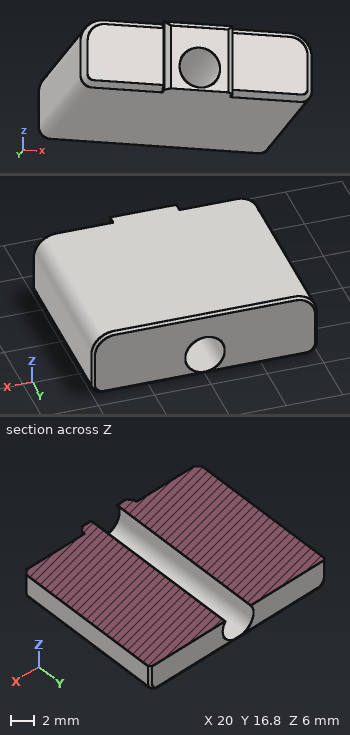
import cadquery as cq

width = 20.0
height = 6.0
body_depth = 16.0
top_radius = 2.0
bottom_radius = 1.0
front_chamfer = 0.5
back_chamfer = 0.25

block_width = 5.9
block_projection = 0.8
block_chamfer = 0.48

bore_diameter = 3.5
bore_height = 2.0


def make_body():
    """Rounded bar with its front face at Y = 0 and chamfered end faces."""
    body = cq.Workplane("XY").box(width, body_depth, height, centered=(True, False, False))
    body = body.edges("|Y and >Z").fillet(top_radius)
    body = body.edges("|Y and <Z").fillet(bottom_radius)
    body = body.faces("<Y").chamfer(front_chamfer)
    return body.faces(">Y").chamfer(back_chamfer)


def make_block():
    """Front block, rooted behind the body's front chamfer; bottom edge stays sharp."""
    block_depth = block_projection + front_chamfer
    block = (
        cq.Workplane("XY", origin=(0, -block_projection, 0))
        .box(block_width, block_depth, height, centered=(True, False, False))
    )
    return block.faces("<Y").edges("|Z or >Z").chamfer(block_chamfer)


def make_bore():
    """Cylinder passing through the block and the whole body."""
    return (
        cq.Workplane("XZ", origin=(0, body_depth, bore_height))
        .circle(bore_diameter / 2)
        .extrude(body_depth + block_projection)
    )


result = make_body().union(make_block()).cut(make_bore())